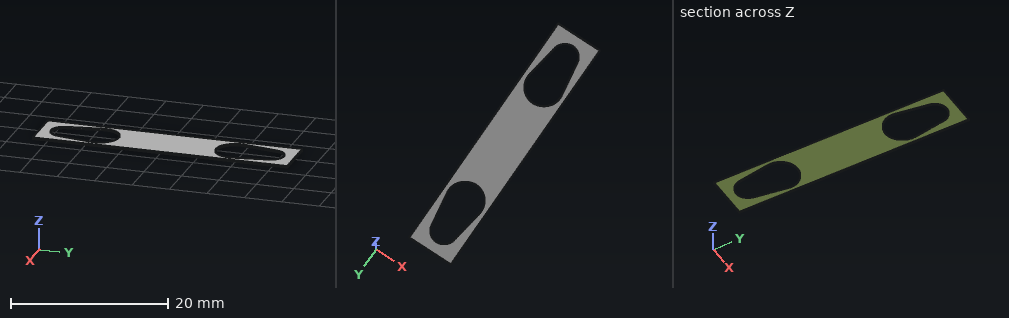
import cadquery as cq
import math

plate_width = 6.4
plate_length = 34.0
plate_thickness = 0.25

inner_radius = 2.5
outer_radius = 1.75
inner_center_y = 9.0
center_spacing = 4.8
outer_center_y = inner_center_y + center_spacing


def make_plate():
    return cq.Workplane("XY").box(plate_width, plate_length, plate_thickness)


def make_opening_cutter(side):
    """Tapered opening; side is +1 for the +Y end of the plate and -1 for the -Y end."""
    tangent_angle = math.asin((inner_radius - outer_radius) / center_spacing)
    across = math.cos(tangent_angle)
    along = math.sin(tangent_angle)

    inner_x = inner_radius * across
    inner_y = side * (inner_center_y + inner_radius * along)
    outer_x = outer_radius * across
    outer_y = side * (outer_center_y + outer_radius * along)
    inner_tip_y = side * (inner_center_y - inner_radius)
    outer_tip_y = side * (outer_center_y + outer_radius)

    return (
        cq.Workplane("XY")
        .moveTo(inner_x, inner_y)
        .lineTo(outer_x, outer_y)
        .threePointArc((0, outer_tip_y), (-outer_x, outer_y))
        .lineTo(-inner_x, inner_y)
        .threePointArc((0, inner_tip_y), (inner_x, inner_y))
        .close()
        .extrude(plate_thickness, both=True)
    )


result = make_plate()
for end in (1, -1):
    result = result.cut(make_opening_cutter(end))